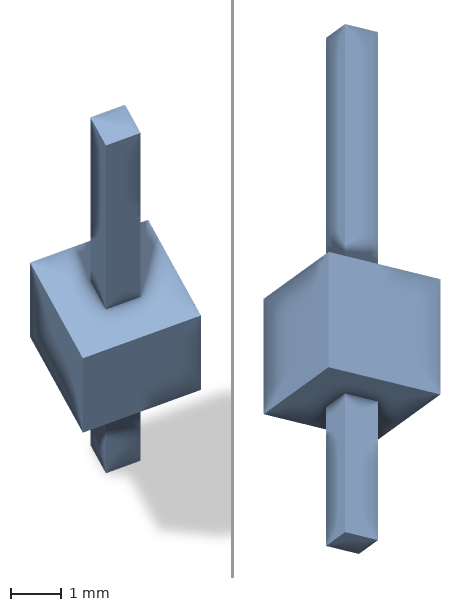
import cadquery as cq

pin_length = 11.0
pin_width = 0.75
housing_width = 2.54
housing_height = 2.5
pin_above_housing = 5.5

pin_below_housing = pin_length - pin_above_housing - housing_height


def make_pin():
    """Square pin running vertically through the housing."""
    return (
        cq.Workplane("XY")
        .workplane(offset=-pin_below_housing)
        .rect(pin_width, pin_width)
        .extrude(pin_length)
    )


def make_housing():
    """Square block with a through hole that fits the pin exactly."""
    return (
        cq.Workplane("XY")
        .rect(housing_width, housing_width)
        .rect(pin_width, pin_width)
        .extrude(housing_height)
    )


housing = make_housing()
pin = make_pin()

result = cq.Compound.makeCompound([housing.val(), pin.val()])